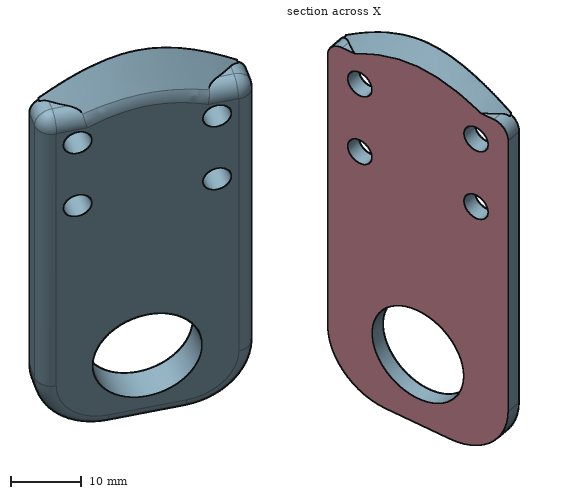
import cadquery as cq
import math

thickness = 5.1
width = 31.7
total_height = 67.95
shoulder_height = 62.3
top_corner_radius = 2.6
bottom_corner_radius = 10.2
front_edge_radius = 2.5

cone_axis_x = -width / 2
cone_apex_height = total_height - cone_axis_x
cone_base_depth = 6.8
cone_base_height = shoulder_height - cone_base_depth
cone_base_radius = cone_apex_height - cone_base_height

cone_radius_at_shoulder = cone_apex_height - shoulder_height
crown_width = 2 * math.sqrt(cone_radius_at_shoulder**2 - cone_axis_x**2)

large_hole_diameter = 15.95
large_hole_height = 12.7
small_hole_diameter = 4.15
small_hole_spacing = 20.4
small_hole_heights = (44.8, 57.15)


def block(block_width, bottom, top):
    """Block of the plate's thickness between two heights."""
    return cq.Workplane("XY").box(
        thickness, block_width, top - bottom, centered=(False, True, False)
    ).translate((0, 0, bottom))


def rounded_plate():
    plate = block(width, 0, shoulder_height)
    plate = plate.edges("|X and >Z").fillet(top_corner_radius)
    return plate.edges("|X and <Z").fillet(bottom_corner_radius)


def crown():
    """Slice of the cone within the plate's thickness, with a hyperbolic outline at the back."""
    cone = (
        cq.Workplane("XZ")
        .moveTo(0, cone_base_height)
        .lineTo(cone_base_radius, cone_base_height)
        .lineTo(0, cone_apex_height)
        .close()
        .revolve(360, (0, 0, 0), (0, 1, 0))
        .translate((cone_axis_x, 0, 0))
    )
    crown_block = block(crown_width, shoulder_height - top_corner_radius / 2, total_height)
    return cone.intersect(crown_block)


def drill(body, diameter, y, z):
    cutter = cq.Workplane("YZ").center(y, z).circle(diameter / 2).extrude(thickness)
    return body.cut(cutter)


result = rounded_plate().union(crown())
result = result.faces(">X").edges().fillet(front_edge_radius)

result = drill(result, large_hole_diameter, 0, large_hole_height)
for side in (-1, 1):
    for height in small_hole_heights:
        result = drill(result, small_hole_diameter, side * small_hole_spacing / 2, height)